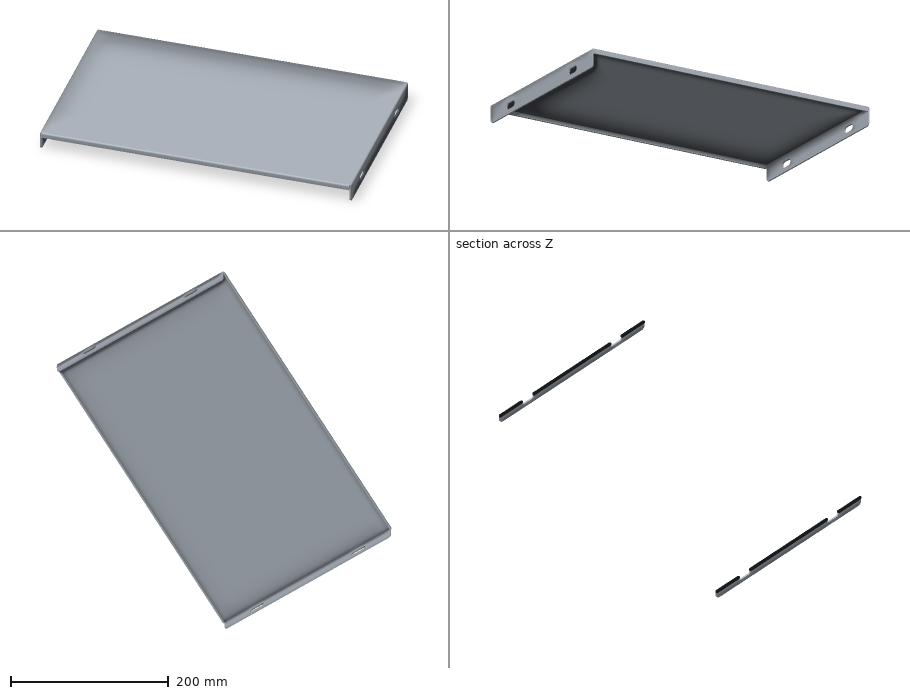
import cadquery as cq

length = 412.0
width = 249.0
height = 25.0

sheet = 2.0
inner_bend_radius = 0.2
bend_radius = sheet + inner_bend_radius

flange_side_gap = 1.5
flange_width = width - 2 * flange_side_gap
flange_corner_radius = 5.0
lip_height = 7.0
lip_length = length - 2 * bend_radius

slot_length = 20.0
slot_height = 8.2
slot_spacing = 150.0
slot_center_z = 10.5


def folded_channel(plane, span, depth, extent):
    """Channel with its top at full height, two bent legs and centered extrusion."""
    outer = (
        cq.Workplane(plane)
        .center(0, height - depth / 2)
        .rect(span, depth)
        .extrude(extent / 2, both=True)
    )
    along = "|Y" if plane == "XZ" else "|X"
    outer = outer.faces(">Z").edges(along).fillet(bend_radius)
    cavity_depth = depth - sheet
    cavity = (
        cq.Workplane(plane)
        .center(0, height - depth + cavity_depth / 2)
        .rect(span - 2 * sheet, cavity_depth)
        .extrude(extent / 2, both=True)
    )
    cavity = cavity.faces(">Z").edges(along).fillet(inner_bend_radius)
    return outer.cut(cavity)


def end_flanges():
    """Channel whose tall legs have rounded lower corners."""
    channel = folded_channel("XZ", length, height, flange_width)
    profile = (
        cq.Workplane("YZ")
        .center(0, height / 2)
        .rect(flange_width, height)
        .extrude(length / 2, both=True)
        .faces("<Z")
        .edges("|X")
        .fillet(flange_corner_radius)
    )
    return channel.intersect(profile)


def flange_slots():
    """Rounded slots running through both end flanges."""
    return (
        cq.Workplane("YZ")
        .pushPoints([(side * slot_spacing / 2, slot_center_z) for side in (-1, 1)])
        .slot2D(slot_length, slot_height)
        .extrude(length, both=True)
    )


def tray():
    """Join the end flanges and side lips, each clear of the other's bends at the corners."""
    inner_width = width - 2 * bend_radius
    lips = folded_channel("YZ", width, lip_height, lip_length)
    ends = end_flanges()
    side_strips = (
        cq.Workplane("XY")
        .rect(lip_length, width)
        .rect(lip_length, inner_width)
        .extrude(height)
    )
    return ends.cut(side_strips).union(lips)


result = tray().cut(flange_slots())